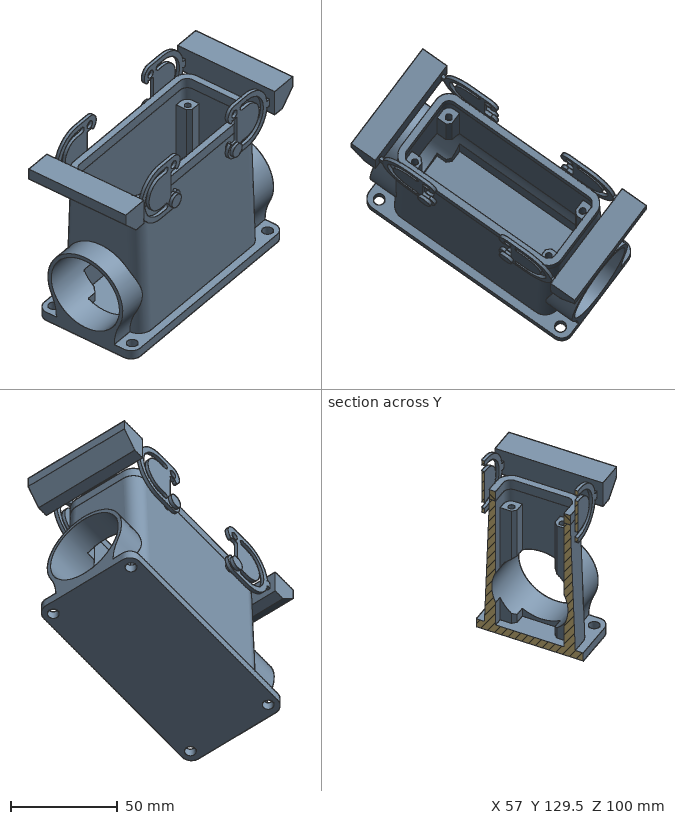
import cadquery as cq
import math


base_width = 56.5
base_length = 117.0
base_thickness = 5.0
base_corner_radius = 5.5
bolt_diameter = 5.5
bolt_x = 23.0
bolt_y = 52.5

wall_length = 93.0
wall_corner_radius = 7.5
wall_foot_width = 48.25
rim_width = 43.0
rim_height = 5.5
rim_top = 84.0
wall_top = rim_top - rim_height

rim_thickness = 3.5
cavity_width = rim_width - 2 * rim_thickness
cavity_length = wall_length - 2 * rim_thickness
cavity_corner_radius = wall_corner_radius - rim_thickness

post_inner_x = 10.0
post_inner_y = 35.75
post_top = 71.5
post_chamfer = 2.0
post_hole_diameter = 3.2
post_hole_x = 13.5
post_hole_y = 38.75
post_hole_depth = 10.0

tube_radius = 22.0
bore_radius = 20.0
tube_z = base_thickness + tube_radius
skirt_half_width = 17.0

plate_inner_x = 23.75
plate_thickness = 1.75
plate_outer_x = plate_inner_x + plate_thickness
plate_half_height = 15.5
plate_top = 100.0
plate_z = plate_top - plate_half_height
plate_arc_y = 33.4
plate_edge_y = 25.6
lobe_radius = 5.0
lobe_y = 23.6
lobe_rise = plate_half_height - lobe_radius
hook_hole_radius = 2.0
hook_lip = 1.0
notch_rise = lobe_rise - hook_hole_radius - hook_lip
notch_corner_radius = 0.8
hook_tip_radius = 1.0
slot_radius = 10.9
slot_width = 3.2
slot_end_y = 29.6

pin_z = plate_z - lobe_rise
pin_head_radius = 3.6
pin_head_thickness = 1.75
pin_inner_x = (rim_width - rim_thickness) / 2

bar_length = 57.0
bar_depth = 14.0
bar_height = 14.0
bar_chamfer = 8.0
bar_outer_y = 64.75
bar_inner_y = bar_outer_y - bar_depth
bar_bottom = 78.5
neck_height = 4.0

SIDES = (-1, 1)
CORNERS = [(sx, sy) for sx in SIDES for sy in SIDES]


def rounded_block(width, length, corner_radius, height):
    """Upright block with rounded vertical edges, centred on the Z axis and standing on Z = 0."""
    return (
        cq.Workplane()
        .rect(width, length)
        .extrude(height)
        .edges("|Z")
        .fillet(corner_radius)
    )


def make_drafted_block():
    """Solid block with the outer faces of the drafted wall; only the long sides lean inwards."""
    foot_x = wall_foot_width / 2
    top_x = rim_width / 2
    return (
        cq.Workplane("XZ", origin=(0, wall_length / 2, 0))
        .moveTo(-foot_x, base_thickness)
        .lineTo(foot_x, base_thickness)
        .lineTo(top_x, wall_top)
        .lineTo(-top_x, wall_top)
        .close()
        .extrude(wall_length)
        .edges("not (|X or |Y)")
        .fillet(wall_corner_radius)
    )


def make_cavity():
    """Upright space inside the wall and the rim, from the top of the base to the top of the rim."""
    depth = rim_top - base_thickness
    cavity = rounded_block(cavity_width, cavity_length, cavity_corner_radius, depth)
    return cavity.translate((0, 0, base_thickness))


def make_base():
    holes = [(sx * bolt_x, sy * bolt_y) for sx, sy in CORNERS]
    return (
        rounded_block(base_width, base_length, base_corner_radius, base_thickness)
        .faces(">Z")
        .workplane(origin=(0, 0, base_thickness))
        .pushPoints(holes)
        .hole(bolt_diameter)
    )


def make_entry_tube():
    """Tube and skirt along the whole base; each skirt side is an arc tangent to the tube.

    The arcs are centred level with the base top, one tube radius below the tube's axis, so they
    meet the base upright.
    """
    flare_radius = skirt_half_width**2 / (2 * (tube_radius - skirt_half_width))
    flare_x = skirt_half_width + flare_radius
    tangent_angle = math.atan2(tube_radius, flare_x)
    mid_angle = tangent_angle / 2
    tangent = (tube_radius * math.cos(tangent_angle), tube_z - tube_radius * math.sin(tangent_angle))
    middle = (
        flare_x - flare_radius * math.cos(mid_angle),
        base_thickness + flare_radius * math.sin(mid_angle),
    )
    return (
        cq.Workplane("XZ", origin=(0, base_length / 2, 0))
        .moveTo(-skirt_half_width, base_thickness)
        .lineTo(skirt_half_width, base_thickness)
        .threePointArc(middle, tangent)
        .threePointArc((0, tube_z + tube_radius), (-tangent[0], tangent[1]))
        .threePointArc((-middle[0], middle[1]), (-skirt_half_width, base_thickness))
        .close()
        .extrude(base_length)
    )


def make_post(sx, sy):
    """Corner post with its free vertical edge chamfered and a blind screw hole in its top."""
    outer_x = cavity_width / 2
    outer_y = cavity_length / 2
    height = post_top - base_thickness
    return (
        cq.Workplane(origin=(0, 0, base_thickness))
        .moveTo(sx * outer_x, sy * outer_y)
        .lineTo(sx * outer_x, sy * post_inner_y)
        .lineTo(sx * (post_inner_x + post_chamfer), sy * post_inner_y)
        .lineTo(sx * post_inner_x, sy * (post_inner_y + post_chamfer))
        .lineTo(sx * post_inner_x, sy * outer_y)
        .close()
        .extrude(height)
        .cut(
            cq.Workplane(origin=(sx * post_hole_x, sy * post_hole_y, post_top - post_hole_depth))
            .circle(post_hole_diameter / 2)
            .extrude(post_hole_depth)
        )
    )


def on_plate(y, rise):
    """Point of a side plate, given by its Y and its height above the plate's middle."""
    return (y, plate_z + rise)


def plate_outline(workplane):
    """Closed plate outline: a half disc with a hooked lobe above and below a notch."""
    tip_y = lobe_y - math.sqrt((lobe_radius - hook_tip_radius) ** 2 - (lobe_rise - notch_rise) ** 2)
    lobe_angle = math.atan2(notch_rise - lobe_rise, tip_y - lobe_y)
    tip_end = (
        lobe_y + lobe_radius * math.cos(lobe_angle),
        lobe_rise + lobe_radius * math.sin(lobe_angle),
    )
    corner_mid = notch_corner_radius * (1 - math.sqrt(0.5))

    return (
        workplane.moveTo(*on_plate(plate_edge_y, notch_corner_radius - notch_rise))
        .lineTo(*on_plate(plate_edge_y, notch_rise - notch_corner_radius))
        .threePointArc(
            on_plate(plate_edge_y - corner_mid, notch_rise - corner_mid),
            on_plate(plate_edge_y - notch_corner_radius, notch_rise),
        )
        .lineTo(*on_plate(tip_y + hook_tip_radius, notch_rise))
        .threePointArc(on_plate(tip_y, notch_rise - hook_tip_radius), on_plate(*tip_end))
        .threePointArc(on_plate(lobe_y - lobe_radius, lobe_rise), on_plate(lobe_y, plate_half_height))
        .lineTo(*on_plate(plate_arc_y, plate_half_height))
        .threePointArc(
            on_plate(plate_arc_y + plate_half_height, 0),
            on_plate(plate_arc_y, -plate_half_height),
        )
        .lineTo(*on_plate(lobe_y, -plate_half_height))
        .threePointArc(on_plate(lobe_y - lobe_radius, -lobe_rise), on_plate(tip_end[0], -tip_end[1]))
        .threePointArc(
            on_plate(tip_y, hook_tip_radius - notch_rise),
            on_plate(tip_y + hook_tip_radius, -notch_rise),
        )
        .lineTo(*on_plate(plate_edge_y - notch_corner_radius, -notch_rise))
        .threePointArc(
            on_plate(plate_edge_y - corner_mid, corner_mid - notch_rise),
            on_plate(plate_edge_y, notch_corner_radius - notch_rise),
        )
        .close()
    )


def slot_outline(workplane):
    """Closed outline of the U-shaped slot with round ends."""
    outer = slot_radius + slot_width / 2
    inner = slot_radius - slot_width / 2
    tip_y = slot_end_y - slot_width / 2

    return (
        workplane.moveTo(*on_plate(slot_end_y, outer))
        .lineTo(*on_plate(plate_arc_y, outer))
        .threePointArc(on_plate(plate_arc_y + outer, 0), on_plate(plate_arc_y, -outer))
        .lineTo(*on_plate(slot_end_y, -outer))
        .threePointArc(on_plate(tip_y, -slot_radius), on_plate(slot_end_y, -inner))
        .lineTo(*on_plate(plate_arc_y, -inner))
        .threePointArc(on_plate(plate_arc_y + inner, 0), on_plate(plate_arc_y, inner))
        .lineTo(*on_plate(slot_end_y, inner))
        .threePointArc(on_plate(tip_y, slot_radius), on_plate(slot_end_y, outer))
        .close()
    )


def make_side_plate():
    """Plate on the +X side of the lever at the +Y end, with its neck and pivot pin."""
    plane = cq.Workplane("YZ", origin=(plate_inner_x, 0, 0))
    band_inner_radius = slot_radius + slot_width / 2
    neck_start = plate_arc_y + (band_inner_radius + plate_half_height) / 2
    neck = (
        plane.center((neck_start + bar_inner_y) / 2, plate_z)
        .rect(bar_inner_y - neck_start, neck_height)
        .extrude(plate_thickness)
    )
    hook_centre = plane.center(lobe_y, plate_z + lobe_rise)
    hook_hole = hook_centre.circle(hook_hole_radius).extrude(plate_thickness)
    plate = (
        plate_outline(plane)
        .extrude(plate_thickness)
        .cut(slot_outline(plane).extrude(plate_thickness))
        .cut(hook_hole)
        .union(neck)
    )
    shank = (
        cq.Workplane("YZ", origin=(pin_inner_x, lobe_y, pin_z))
        .circle(hook_hole_radius)
        .extrude(plate_outer_x - pin_inner_x)
    )
    head = (
        cq.Workplane("YZ", origin=(plate_outer_x, lobe_y, pin_z))
        .circle(pin_head_radius)
        .extrude(pin_head_thickness)
    )
    return plate.union(shank).union(head)


def make_grip_bar():
    return (
        cq.Workplane("YZ", origin=(-bar_length / 2, 0, 0))
        .moveTo(bar_inner_y, bar_bottom)
        .lineTo(bar_inner_y, bar_bottom + bar_height)
        .lineTo(bar_outer_y, bar_bottom + bar_height)
        .lineTo(bar_outer_y, bar_bottom + bar_chamfer)
        .lineTo(bar_outer_y - bar_chamfer, bar_bottom)
        .close()
        .extrude(bar_length)
    )


def make_lever():
    """Lever at the +Y end: grip bar, two side plates and their pins."""
    side = make_side_plate()
    return make_grip_bar().union(side).union(side.mirror("YZ"))


def make_housing():
    """Base, drafted wall, cable entries and posts, with both levers pinned to the wall."""
    body = make_base().union(make_drafted_block()).union(make_entry_tube()).cut(make_cavity())
    for sx, sy in CORNERS:
        body = body.union(make_post(sx, sy))
    bore = (
        cq.Workplane("XZ", origin=(0, base_length / 2, tube_z))
        .circle(bore_radius)
        .extrude(base_length)
    )
    body = body.cut(bore)
    lever = make_lever()
    return body.union(lever).union(lever.mirror("XZ"))


def make_rim():
    """Straight-sided ring that stands on the top edge of the drafted wall."""
    block = rounded_block(rim_width, wall_length, wall_corner_radius, rim_height)
    return block.translate((0, 0, wall_top)).cut(make_cavity())


housing = make_housing()
rim = make_rim()
result = cq.Compound.makeCompound([housing.val(), rim.val()])